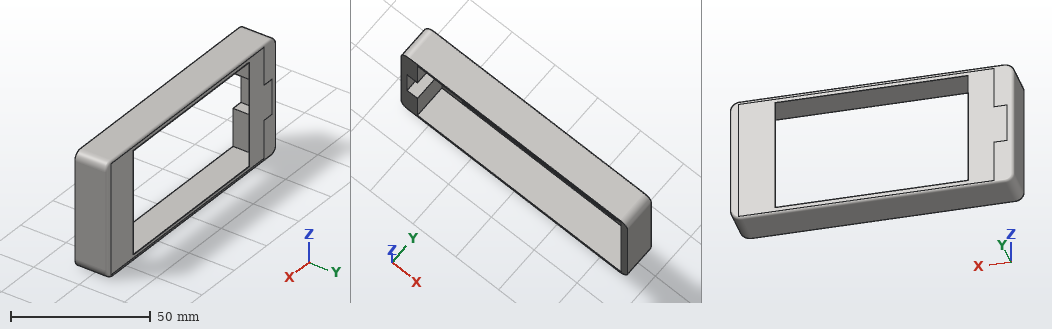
import cadquery as cq

length = 105.8
depth = 14.0
height = 50.0
top_left_radius = 4.0
top_right_radius = 3.5
bottom_left_radius = 3.3
bottom_right_radius = 4.7
back_edge_round = 1.1

panel_thickness = 0.2
rim_wall = 1.3
left_wall = 7.6
right_wall = 3.2
cavity_depth = depth - panel_thickness

window_left = 17.1
window_length = 71.7
window_height = 44.4

notch_left = 2.8
notch_height = 15.0

left_side = -length / 2
front_face = -depth / 2


def centred_block(left_offset, block_length, block_depth, block_height):
    """Block starting at the front face, centred in Z, offset from the left side."""
    return (
        cq.Workplane("XY")
        .box(block_length, block_depth, block_height, centered=(False, False, True))
        .translate((left_side + left_offset, front_face, 0))
    )


def rounded_body():
    """Block with its own radius at each corner and a rounded edge around the back."""
    corners = [
        (-1, 1, top_left_radius),
        (1, 1, top_right_radius),
        (-1, -1, bottom_left_radius),
        (1, -1, bottom_right_radius),
    ]
    block = cq.Workplane("XY").box(length, depth, height)
    for x_side, z_side, radius in corners:
        corner_point = (x_side * length / 2, 0, z_side * height / 2)
        block = block.edges(cq.NearestToPointSelector(corner_point)).fillet(radius)
    return block.faces(">Y").edges().fillet(back_edge_round)


cavity_length = length - left_wall - right_wall
cavity = centred_block(left_wall, cavity_length, cavity_depth, height - 2 * rim_wall)
window = centred_block(window_left, window_length, depth, window_height)
notch = centred_block(notch_left, left_wall - notch_left, cavity_depth, notch_height)

result = rounded_body().cut(cavity).cut(window).cut(notch)